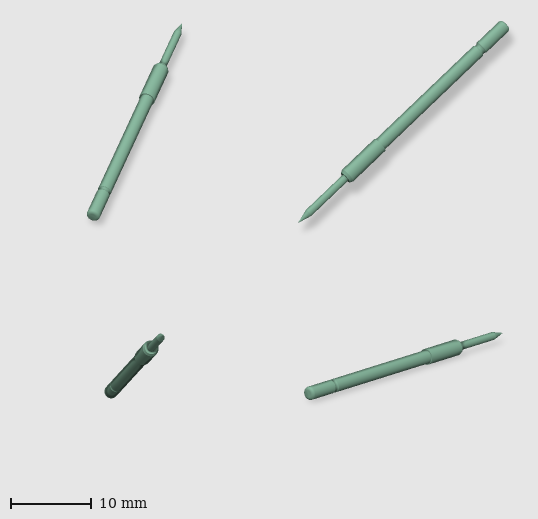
import cadquery as cq
import math

total_length = 36.3

needle_radius = 0.5
tip_length = 1.87
needle_length = 8.3

collar_radius = 1.0
collar_length = 6.0
collar_bevel_length = 0.4
collar_bevel_depth = 0.2

barrel_radius = 0.85
rear_fillet_radius = 0.4

groove_rear = 4.2
groove_depth = 0.15
groove_front_flank_length = 0.25
groove_rear_flank_length = 0.35

collar_front = total_length - needle_length
collar_rear = collar_front - collar_length
tip_base = total_length - tip_length
groove_bottom = groove_rear + groove_rear_flank_length
groove_front = groove_bottom + groove_front_flank_length
groove_bottom_radius = barrel_radius - groove_depth


def make_body():
    """Revolve the stepped half profile from the rear end to the needle point."""
    profile = (
        cq.Workplane("XY")
        .lineTo(barrel_radius, 0)
        .lineTo(barrel_radius, collar_rear)
        .lineTo(collar_radius, collar_rear)
        .lineTo(collar_radius, collar_front - collar_bevel_length)
        .lineTo(collar_radius - collar_bevel_depth, collar_front)
        .lineTo(needle_radius, collar_front)
        .lineTo(needle_radius, tip_base)
        .lineTo(0, total_length)
        .close()
    )
    return profile.revolve(360, (0, 0, 0), (0, 1, 0))


def round_rear_end(body):
    """Fillet the rim of the flat rear end."""
    return body.faces("<Y").edges().fillet(rear_fillet_radius)


def flank_middle_radius(flank_length):
    """Part radius halfway along a flank whose arc is tangent to the groove bottom."""
    arc_radius = (flank_length**2 + groove_depth**2) / (2 * groove_depth)
    rise = arc_radius - math.sqrt(arc_radius**2 - (flank_length / 2) ** 2)
    return groove_bottom_radius + rise


def make_groove_ring():
    """Ring of material removed to leave the snap groove."""
    profile = (
        cq.Workplane("XY")
        .moveTo(barrel_radius, groove_front)
        .threePointArc(
            (flank_middle_radius(groove_front_flank_length), groove_bottom + groove_front_flank_length / 2),
            (groove_bottom_radius, groove_bottom),
        )
        .threePointArc(
            (flank_middle_radius(groove_rear_flank_length), groove_bottom - groove_rear_flank_length / 2),
            (barrel_radius, groove_rear),
        )
        .close()
    )
    return profile.revolve(360, (0, 0, 0), (0, 1, 0))


result = round_rear_end(make_body()).cut(make_groove_ring())